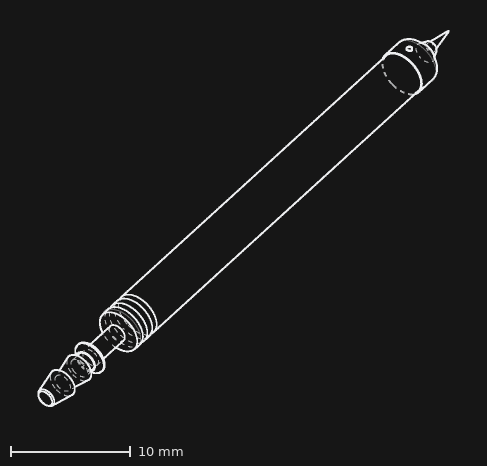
import cadquery as cq

total_length = 56.2

tip_radius = 0.04
needle_shank_radius = 0.45
needle_end = 2.45
nose_front_radius = 0.62
nose_radius = 0.95
nose_end = 3.3

dome_front_station = 4.08
dome_front_radius = 1.85
dome_end = 4.6
collar_radius = 2.1
collar_end = 6.5
dome_mid_offset = 0.05

barrel_radius = 2.0
barrel_end = 46.0
groove_starts = (43.35, 44.65)
groove_width = 0.6
groove_depth = 0.1
rear_taper_length = 0.4
rear_taper_drop = 0.04

rear_cone_length = 0.2
rod_radius = 0.82

flange_start = 49.9
flange_rim = 0.15
flange_radius = 1.5
flange_end = 50.55
flange_foot_radius = 0.97
neck_radius = 0.87
barb_starts = (51.5, 53.8)
barb_radius = 1.3
barb_root_radius = 0.8
end_radius = 0.85
end_chamfer = 0.13

dimple_station = 5.45
dimple_diameter = 0.5
dimple_depth = 0.1


def make_turned_body():
    """Revolve the half profile of the whole probe about its axis."""
    def at(radius, station):
        return (radius, total_length / 2 - station)

    dome_mid_radius = (dome_front_radius + collar_radius) / 2 + dome_mid_offset
    dome_mid_station = (dome_front_station + dome_end) / 2 - dome_mid_offset

    profile = (
        cq.Workplane("XY")
        .moveTo(*at(0, 0))
        .lineTo(*at(tip_radius, 0))
        .lineTo(*at(needle_shank_radius, needle_end))
        .lineTo(*at(nose_front_radius, needle_end))
        .lineTo(*at(nose_radius, nose_end))
        .lineTo(*at(dome_front_radius, dome_front_station))
        .threePointArc(at(dome_mid_radius, dome_mid_station), at(collar_radius, dome_end))
        .lineTo(*at(collar_radius, collar_end))
        .lineTo(*at(barrel_radius, collar_end))
    )
    for start in groove_starts:
        profile = (
            profile
            .lineTo(*at(barrel_radius, start))
            .threePointArc(
                at(barrel_radius - groove_depth, start + groove_width / 2),
                at(barrel_radius, start + groove_width),
            )
        )
    profile = (
        profile
        .lineTo(*at(barrel_radius, barrel_end - rear_taper_length))
        .lineTo(*at(barrel_radius - rear_taper_drop, barrel_end))
        .lineTo(*at(rod_radius, barrel_end + rear_cone_length))
        .lineTo(*at(rod_radius, flange_start))
        .lineTo(*at(flange_radius, flange_start))
        .lineTo(*at(flange_radius, flange_start + flange_rim))
        .lineTo(*at(flange_foot_radius, flange_end))
        .lineTo(*at(neck_radius, flange_end))
    )
    front_barb, rear_barb = barb_starts
    profile = (
        profile
        .lineTo(*at(neck_radius, front_barb))
        .lineTo(*at(barb_radius, front_barb))
        .lineTo(*at(barb_root_radius, rear_barb))
        .lineTo(*at(barb_radius, rear_barb))
        .lineTo(*at(end_radius, total_length - end_chamfer))
        .lineTo(*at(end_radius - end_chamfer, total_length))
        .lineTo(*at(0, total_length))
        .close()
    )
    return profile.revolve(360, (0, 0, 0), (0, 1, 0))


def make_dimple():
    """Return the cutter for the shallow round dimple."""
    dimple_centre = total_length / 2 - dimple_station
    dimple_floor = collar_radius - dimple_depth
    return (
        cq.Workplane("XY", origin=(0, dimple_centre, dimple_floor))
        .circle(dimple_diameter / 2)
        .extrude(2 * dimple_depth)
    )


result = make_turned_body().cut(make_dimple())